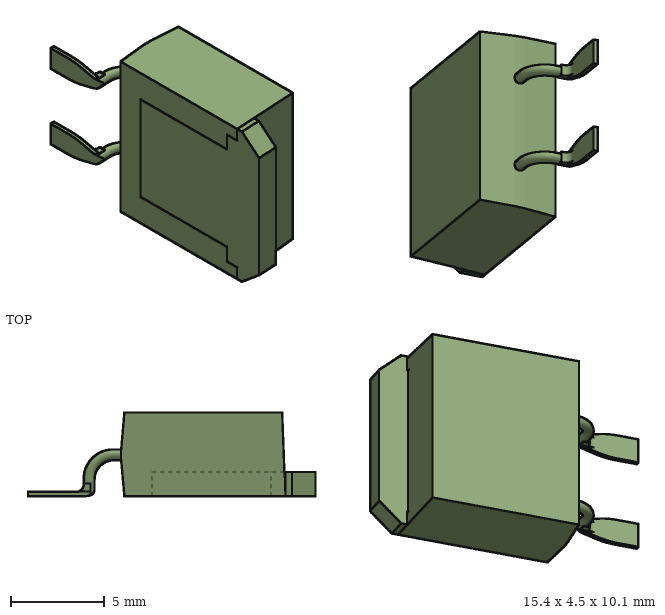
import cadquery as cq


length = 15.39
depth = 4.5
height = 10.1

ridge_x = 4.99
shoulder_x = 5.15
ridge_width = 0.62
ridge_center_y = 2.22
housing_end_x = 13.77
back_end_x = 13.6
side_draft = 0.14

tab_thickness = 1.31
tab_start_x = 6.63
tab_step_x = 13.0
tab_inner_half = 3.28
tab_step_half = 4.26
tab_chamfer_x = 1.26
tab_chamfer_z = 1.11

lead_pitch = 5.08
wire_diameter = 0.6
wire_radius = wire_diameter / 2
bend_start_x = 4.57
bend_radius = 1.3
drop_x = bend_start_x - bend_radius

foot_thickness = 0.25
foot_half_width = 0.7
foot_taper_x = 1.31
neck_half_width = 0.31
neck_end_x = 3.35
neck_top_y = 0.7
inner_fillet = 0.37
heel_start_x = 3.0
heel_height = 0.43
flare_slope = 0.2


def make_tab():
    half = height / 2
    upper = [
        (tab_start_x, tab_inner_half),
        (tab_step_x, tab_inner_half),
        (tab_step_x, tab_step_half),
        (housing_end_x, tab_step_half),
        (housing_end_x, half),
        (length - tab_chamfer_x, half),
        (length, half - tab_chamfer_z),
    ]
    lower = [(x, -z) for x, z in reversed(upper)]
    return cq.Workplane("XZ").polyline(upper + lower).close().extrude(-tab_thickness)


def make_housing(tab):
    half = height / 2
    ridge_front_y = ridge_center_y - ridge_width / 2
    ridge_back_y = ridge_center_y + ridge_width / 2
    block = (
        cq.Workplane("XY")
        .workplane(offset=-half)
        .polyline([
            (shoulder_x, 0),
            (housing_end_x, 0),
            (back_end_x, depth),
            (shoulder_x, depth),
            (ridge_x, ridge_back_y),
            (ridge_x, ridge_front_y),
        ])
        .close()
        .extrude(height)
    )
    drafted_sides = (
        cq.Workplane("YZ")
        .polyline([
            (0, -half),
            (depth, side_draft - half),
            (depth, half - side_draft),
            (0, half),
        ])
        .close()
        .extrude(length)
    )
    return block.intersect(drafted_sides).cut(tab)


def make_wire():
    path = (
        cq.Workplane("XY")
        .moveTo(ridge_x, ridge_center_y)
        .lineTo(bend_start_x, ridge_center_y)
        .radiusArc((drop_x, ridge_center_y - bend_radius), -bend_radius)
        .lineTo(drop_x, 0)
    )
    return (
        cq.Workplane("YZ", origin=(ridge_x, ridge_center_y, 0))
        .circle(wire_radius)
        .sweep(path)
    )


def make_heel_cutter():
    """Material outside the curved heel, where the wire turns into the foot."""
    heel_end_x = drop_x + wire_radius
    return (
        cq.Workplane("XY")
        .moveTo(heel_start_x, 0)
        .spline([(heel_end_x, heel_height)], tangents=[(1, 0), (0, 1)], includeCurrent=True)
        .lineTo(heel_end_x + wire_radius, heel_height)
        .lineTo(heel_end_x + wire_radius, -wire_radius)
        .lineTo(heel_start_x, -wire_radius)
        .close()
        .extrude(foot_half_width, both=True)
    )


def make_foot():
    neck_start_x = drop_x - wire_radius
    profile = (
        cq.Workplane("XY")
        .lineTo(neck_end_x, 0)
        .lineTo(neck_end_x, neck_top_y)
        .lineTo(neck_start_x, neck_top_y)
        .lineTo(neck_start_x, foot_thickness + inner_fillet)
        .radiusArc((neck_start_x - inner_fillet, foot_thickness), inner_fillet)
        .lineTo(0, foot_thickness)
        .close()
        .extrude(foot_half_width, both=True)
    )
    outline = (
        cq.Workplane("XZ")
        .moveTo(0, foot_half_width)
        .lineTo(foot_taper_x, foot_half_width)
        .spline([(neck_end_x, neck_half_width)], tangents=[(1, 0), (1, -flare_slope)], includeCurrent=True)
        .lineTo(neck_end_x, -neck_half_width)
        .spline(
            [(foot_taper_x, -foot_half_width)],
            tangents=[(-1, -flare_slope), (-1, 0)],
            includeCurrent=True,
        )
        .lineTo(0, -foot_half_width)
        .close()
        .extrude(-depth)
    )
    flat = cq.Workplane("XY").box(length, foot_thickness, height, centered=(False, False, True))
    neck_envelope = cq.Workplane("XY").box(
        length, depth, 2 * neck_half_width, centered=(False, False, True)
    )
    return profile.intersect(outline).intersect(flat.union(neck_envelope))


def make_lead(center_z):
    lead = make_wire().union(make_foot()).cut(make_heel_cutter())
    return lead.translate((0, 0, center_z))


tab = make_tab()
housing = make_housing(tab)
leads = [make_lead(side * lead_pitch / 2) for side in (-1, 1)]

result = cq.Compound.makeCompound([
    housing.val(),
    tab.val(),
    *[lead.val() for lead in leads],
])